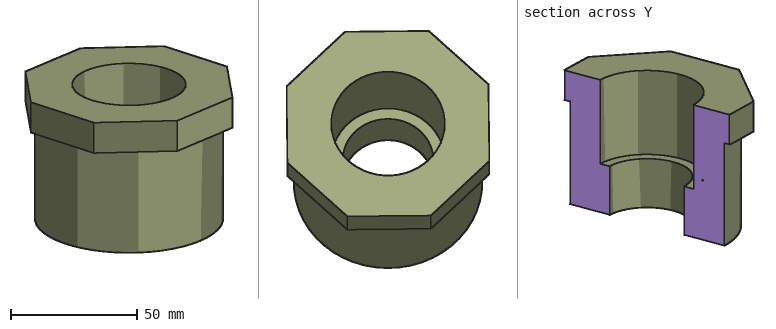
import cadquery as cq
import math

across_flats = 80.0
total_height = 57.0
head_height = 13.0
side_count = 8

body_diameter = 74.8
socket_diameter = 45.0
bore_diameter = 36.0
socket_depth = 36.0

body_height = total_height - head_height
half_side_angle = 180 / side_count
across_corners = across_flats / math.cos(math.radians(half_side_angle))


def make_body():
    """Round spigot standing on the XY plane."""
    return cq.Workplane("XY").circle(body_diameter / 2).extrude(body_height)


def make_head():
    """Octagonal head with flats facing the X and Y axes."""
    return (
        cq.Workplane("XY")
        .transformed(rotate=(0, 0, half_side_angle), offset=(0, 0, body_height))
        .polygon(side_count, across_corners)
        .extrude(head_height)
    )


def cut_socket_and_bore(solid):
    """Socket sunk from the head, with a narrower bore running through."""
    return solid.faces(">Z").workplane(origin=(0, 0, total_height)).cboreHole(
        bore_diameter, socket_diameter, socket_depth
    )


result = cut_socket_and_bore(make_body().union(make_head()))